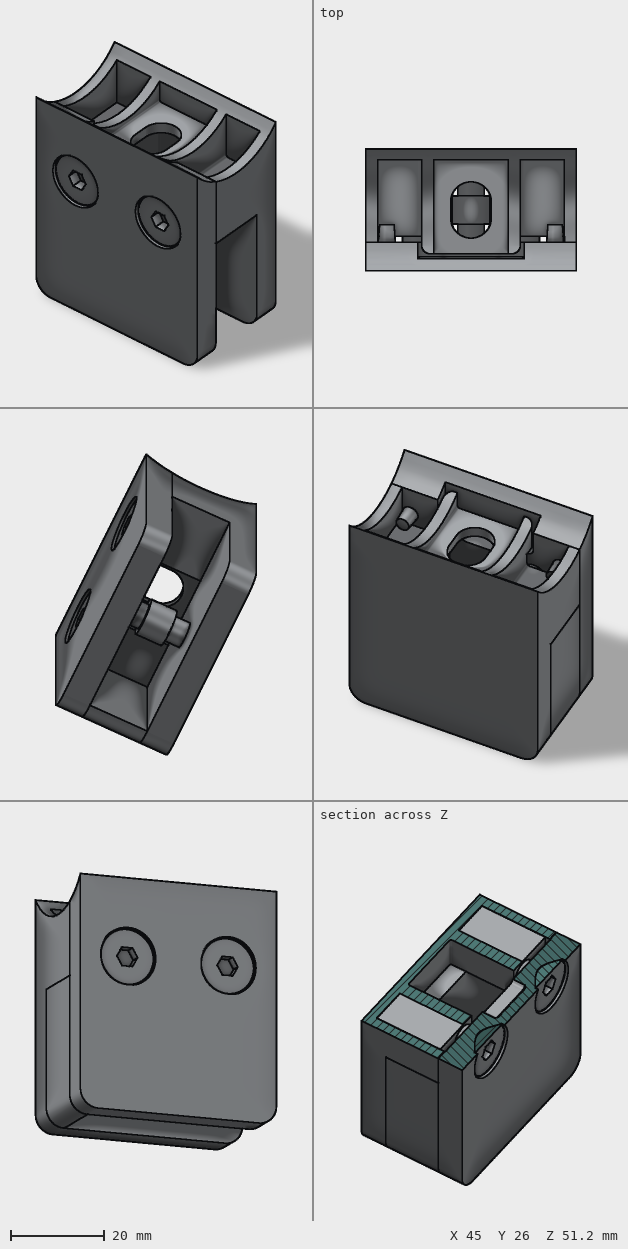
import cadquery as cq
import math


WIDTH = 45.0
DEPTH = 26.0
HEIGHT = 51.15
CORNER_RADIUS = 4.0
RAIL_RADIUS = 16.85
HALF_WIDTH = WIDTH / 2
BACK_Y = DEPTH / 2
FRONT_Y = -DEPTH / 2

SLOT_BACK_Y = 6.7
PLATE_FACE_Y = -6.85
SLOT_HEIGHT = 30.1

CAP_THICKNESS = 4.1

WALL = 2.55
BACK_WALL = 2.3
POCKET_BACK_Y = BACK_Y - BACK_WALL
POCKET_HALF_WIDTH = HALF_WIDTH - WALL
SIDE_FLOOR_Z = 37.65
BLOCK_FRONT_Y = -5.6
SIDE_POCKET_FILLET = 0.8

TONGUE_HALF_WIDTH = 10.55
CENTER_HALF_WIDTH = TONGUE_HALF_WIDTH - WALL
TONGUE_FRONT_Y = -9.35
TONGUE_CORNER_RADIUS = 1.85
WEB_TOP_Z = 43.45
WEB_THICKNESS = 2.55
WEB_BOTTOM_Z = WEB_TOP_Z - WEB_THICKNESS
WEB_FILLET = 0.6
CAVITY_CORNER_RADIUS = 0.4
WEB_HOLE_LENGTH = 12.0
WEB_HOLE_WIDTH = 8.6

RECESS_HALF_WIDTH = 11.4
RECESS_BACK_Y = -10.45
RECESS_BEND = 1.5
RECESS_SHELF_Z = 39.9
RECESS_BOTTOM_Z = RECESS_SHELF_Z - 2 * RECESS_BEND
RECESS_STEP_X = 6.0
RECESS_CHAMFER = 0.4

PEG_X = 17.95
PEG_LENGTH = 3.75
PEG_ROOT_RADIUS = 1.85
PEG_TIP_RADIUS = 1.55
PEG_Z = SIDE_FLOOR_Z + PEG_ROOT_RADIUS

SCREW_X = 11.5
SCREW_Z = 33.95
SCREW_RADIUS = 3.1
SCREW_TIP_Y = SLOT_BACK_Y
HEAD_RADIUS = 6.05
HEAD_CLEARANCE = 0.25
HEAD_SINK = 0.6
HEAD_RIM = 0.25
HEAD_CONE = HEAD_RADIUS - SCREW_RADIUS
HEAD_Y = FRONT_Y + HEAD_SINK
HEAD_RIM_Y = HEAD_Y + HEAD_RIM
HEX_ACROSS_FLATS = 4.1
HEX_DEPTH = 2.55

PIN_Z = SLOT_HEIGHT / 2
PIN_RADIUS = 2.85
PIN_SEAT_DEPTH = 1.55
SLEEVE_RADIUS = 4.1
SLEEVE_LENGTH = 6.05


def block(x_min, x_max, y_min, y_max, z_min, z_max):
    """Box given by its limits."""
    size = (x_max - x_min, y_max - y_min, z_max - z_min)
    return cq.Workplane("XY").box(*size, centered=False).translate((x_min, y_min, z_min))


def cylinder(x, z, radius, y_min, y_max):
    """Round bar along Y."""
    return cq.Workplane("XZ", origin=(x, y_min, z)).circle(radius).extrude(y_min - y_max)


def envelope():
    """Outer block with rounded bottom corners and the rail saddle on top."""
    body = block(-HALF_WIDTH, HALF_WIDTH, FRONT_Y, BACK_Y, 0, HEIGHT)
    body = body.edges("|Y and <Z").fillet(CORNER_RADIUS)
    rail_z = HEIGHT + math.sqrt(RAIL_RADIUS**2 - BACK_Y**2)
    rail = cq.Workplane("YZ", origin=(-HALF_WIDTH, 0, rail_z)).circle(RAIL_RADIUS).extrude(WIDTH)
    return body.cut(rail)


def side_pocket():
    """Pocket on the -X side of the tongue, open at the top and the front."""
    pocket = block(-POCKET_HALF_WIDTH, -TONGUE_HALF_WIDTH, PLATE_FACE_Y, POCKET_BACK_Y, SIDE_FLOOR_Z, HEIGHT)
    return pocket.edges("|Y and >X and <Z").fillet(SIDE_POCKET_FILLET)


def tongue():
    """Front part of the tongue, ahead of the housing block, with rounded front corners."""
    body = block(-TONGUE_HALF_WIDTH, TONGUE_HALF_WIDTH, TONGUE_FRONT_Y, BLOCK_FRONT_Y, WEB_BOTTOM_Z, HEIGHT)
    body = body.edges("|Z and <Y").fillet(TONGUE_CORNER_RADIUS)
    return body.intersect(envelope())


def center_pocket():
    """Pocket between the ribs, above the web, open at the top and the front."""
    pocket = block(-CENTER_HALF_WIDTH, CENTER_HALF_WIDTH, TONGUE_FRONT_Y, POCKET_BACK_Y, WEB_TOP_Z, HEIGHT)
    return pocket.edges("|Y and <Z").fillet(WEB_FILLET)


def center_cavity():
    """Opening below the web, down into the glass slot."""
    cavity = block(
        -CENTER_HALF_WIDTH, CENTER_HALF_WIDTH, BLOCK_FRONT_Y, POCKET_BACK_Y, SLOT_HEIGHT, WEB_BOTTOM_Z
    )
    return cavity.edges("|Z and >Y").fillet(CAVITY_CORNER_RADIUS)


def web_hole():
    """Oblong hole through the web, long along Y."""
    return (
        cq.Workplane("XY", origin=(0, 0, WEB_BOTTOM_Z))
        .slot2D(WEB_HOLE_LENGTH, WEB_HOLE_WIDTH, 90)
        .extrude(WEB_THICKNESS)
    )


def make_housing():
    body = envelope()
    body = body.cut(block(-HALF_WIDTH, HALF_WIDTH, FRONT_Y, PLATE_FACE_Y, 0, HEIGHT))
    body = body.cut(block(-HALF_WIDTH, HALF_WIDTH, PLATE_FACE_Y, SLOT_BACK_Y, 0, SLOT_HEIGHT))
    body = body.cut(
        block(-POCKET_HALF_WIDTH, POCKET_HALF_WIDTH, PLATE_FACE_Y, BLOCK_FRONT_Y, SLOT_HEIGHT, HEIGHT)
    )
    left_pocket = side_pocket()
    body = body.cut(left_pocket).cut(left_pocket.mirror("YZ"))
    body = body.union(tongue())
    body = body.cut(center_pocket()).cut(center_cavity()).cut(web_hole())
    for x in (-SCREW_X, SCREW_X):
        body = body.cut(cylinder(x, SCREW_Z, SCREW_RADIUS, BLOCK_FRONT_Y, SCREW_TIP_Y))
    return body.cut(make_pin_shaft())


def plate_recess():
    """Recess for the tongue, with a shelf over each screw and a deeper middle."""
    inner_x = RECESS_STEP_X - RECESS_BEND
    shelf_inner_x = RECESS_STEP_X + RECESS_BEND
    shelf_outer_x = RECESS_HALF_WIDTH - RECESS_BEND
    step_z = RECESS_SHELF_Z - RECESS_BEND
    wall_z = RECESS_SHELF_Z + RECESS_BEND
    diagonal = RECESS_BEND * math.sqrt(0.5)
    recess = (
        cq.Workplane("XZ", origin=(0, PLATE_FACE_Y, 0))
        .moveTo(0, RECESS_BOTTOM_Z)
        .lineTo(inner_x, RECESS_BOTTOM_Z)
        .threePointArc((inner_x + diagonal, step_z - diagonal), (RECESS_STEP_X, step_z))
        .threePointArc((shelf_inner_x - diagonal, step_z + diagonal), (shelf_inner_x, RECESS_SHELF_Z))
        .lineTo(shelf_outer_x, RECESS_SHELF_Z)
        .threePointArc((shelf_outer_x + diagonal, wall_z - diagonal), (RECESS_HALF_WIDTH, wall_z))
        .lineTo(RECESS_HALF_WIDTH, HEIGHT)
        .lineTo(0, HEIGHT)
        .mirrorY()
        .extrude(PLATE_FACE_Y - RECESS_BACK_Y)
    )
    recess = recess.faces("<Y").chamfer(RECESS_CHAMFER)
    square_part = block(-RECESS_HALF_WIDTH, RECESS_HALF_WIDTH, RECESS_BACK_Y, PLATE_FACE_Y, wall_z, HEIGHT)
    return recess.union(square_part)


def peg(x):
    """Slightly tapered locating peg on the inner face of the plate."""
    return (
        cq.Workplane("XZ", origin=(x, PLATE_FACE_Y, PEG_Z))
        .circle(PEG_ROOT_RADIUS)
        .workplane(offset=-PEG_LENGTH)
        .circle(PEG_TIP_RADIUS)
        .loft()
    )


def screw_blank(x):
    """Countersunk screw without its socket: short straight rim, 45 degree cone, shank."""
    return (
        cq.Workplane("XY")
        .moveTo(0, HEAD_Y)
        .lineTo(HEAD_RADIUS, HEAD_Y)
        .lineTo(HEAD_RADIUS, HEAD_RIM_Y)
        .lineTo(SCREW_RADIUS, HEAD_RIM_Y + HEAD_CONE)
        .lineTo(SCREW_RADIUS, SCREW_TIP_Y)
        .lineTo(0, SCREW_TIP_Y)
        .close()
        .revolve(360, (0, 0, 0), (0, 1, 0))
        .translate((x, 0, SCREW_Z))
    )


def make_plate():
    body = envelope().intersect(block(-HALF_WIDTH, HALF_WIDTH, FRONT_Y, PLATE_FACE_Y, 0, HEIGHT))
    body = body.cut(plate_recess())
    for x in (-PEG_X, PEG_X):
        body = body.union(peg(x))
    for x in (-SCREW_X, SCREW_X):
        body = body.cut(screw_blank(x))
        body = body.cut(cylinder(x, SCREW_Z, HEAD_RADIUS + HEAD_CLEARANCE, FRONT_Y, HEAD_RIM_Y))
    return body.cut(make_pin_shaft())


def make_screw(x):
    hex_diameter = HEX_ACROSS_FLATS / math.cos(math.pi / 6)
    socket = cq.Workplane("XZ", origin=(x, HEAD_Y, SCREW_Z)).polygon(6, hex_diameter).extrude(-HEX_DEPTH)
    return screw_blank(x).cut(socket)


def make_end_cap():
    """Cap that closes the -X end of the slot; the glass enters at the open +X end."""
    cap_inner_x = -HALF_WIDTH + CAP_THICKNESS
    return envelope().intersect(block(-HALF_WIDTH, cap_inner_x, PLATE_FACE_Y, SLOT_BACK_Y, 0, SLOT_HEIGHT))


def make_pin_shaft():
    """Shaft across the slot, seated in the housing and the plate."""
    return cylinder(0, PIN_Z, PIN_RADIUS, PLATE_FACE_Y - PIN_SEAT_DEPTH, SLOT_BACK_Y + PIN_SEAT_DEPTH)


def make_pin_sleeve():
    """Sleeve around the middle of the shaft, where the pin passes through the glass."""
    sleeve = cylinder(0, PIN_Z, SLEEVE_RADIUS, -SLEEVE_LENGTH / 2, SLEEVE_LENGTH / 2)
    return sleeve.cut(make_pin_shaft())


housing = make_housing()
plate = make_plate()
screws = [make_screw(x) for x in (-SCREW_X, SCREW_X)]
end_cap = make_end_cap()
pin_shaft = make_pin_shaft()
pin_sleeve = make_pin_sleeve()

bodies = [housing, plate, *screws, end_cap, pin_shaft, pin_sleeve]
result = cq.Compound.makeCompound([body.solids().val() for body in bodies])